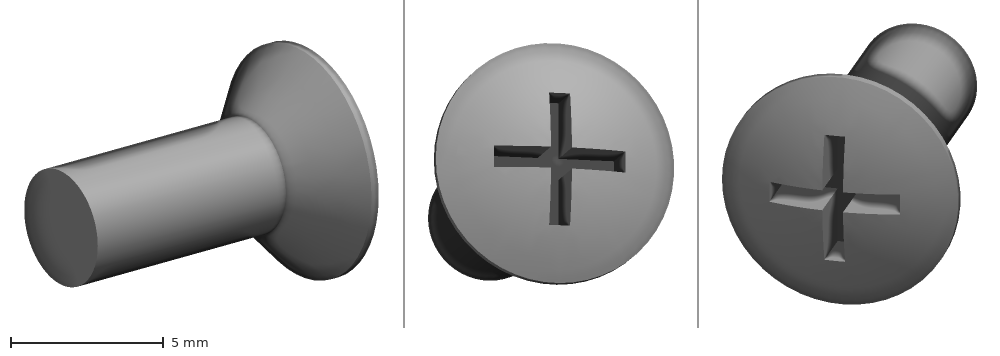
import cadquery as cq
import math

overall_length = 10.97
head_diameter = 8.0
shank_diameter = head_diameter / 2
rim_height = 0.3
dome_height = 0.98
slot_width = 0.7
slot_length = 4.41
slot_depth = 2.0

head_radius = head_diameter / 2
shank_radius = shank_diameter / 2
cone_height = head_radius - shank_radius

dome_radius = (head_radius**2 + dome_height**2) / (2 * dome_height)
slot_corner_radius = math.hypot(slot_width / 2, slot_width / 2)
apex_loss = dome_radius - math.sqrt(dome_radius**2 - slot_corner_radius**2)
apex_y = overall_length + apex_loss

rim_top_y = apex_y - dome_height
rim_bottom_y = rim_top_y - rim_height
shank_length = rim_bottom_y - cone_height
slot_floor_y = apex_y - slot_depth


def make_screw_body():
    """Revolve the half profile about the Y axis."""
    half_angle = math.asin(head_radius / dome_radius) / 2
    dome_midpoint = (
        dome_radius * math.sin(half_angle),
        apex_y - dome_radius * (1 - math.cos(half_angle)),
    )
    profile = (
        cq.Workplane("XY")
        .lineTo(shank_radius, 0)
        .lineTo(shank_radius, shank_length)
        .lineTo(head_radius, rim_bottom_y)
        .lineTo(head_radius, rim_top_y)
        .threePointArc(dome_midpoint, (0, apex_y))
        .close()
    )
    return profile.revolve(360, (0, 0), (0, 1))


def make_slot(angle):
    """Cutter for one bar of the blind cross recess, turned about the Y axis."""
    cutter_height = 2 * slot_depth
    cutter = cq.Workplane("XY").box(slot_length, cutter_height, slot_width, centered=(True, False, True))
    return cutter.translate((0, slot_floor_y, 0)).rotate((0, 0, 0), (0, 1, 0), angle)


result = make_screw_body()
for slot_angle in (0, 90):
    result = result.cut(make_slot(slot_angle))